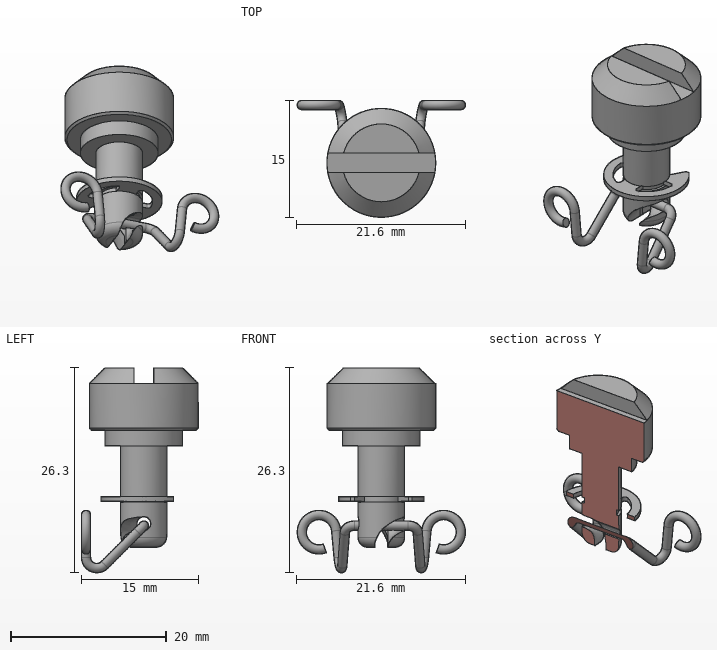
import cadquery as cq
import math


head_radius = 7.0
head_top = 23.03
head_bevel = 2.0
head_bottom = 15.0
head_edge_chamfer = 0.3
driver_slot_width = 2.5
collar_radius = 5.0
collar_bottom = 13.01
shank_radius = 3.0
tip_fillet = 1.25
groove_radius = 2.63
groove_clearance = 0.08

cam_half_width = 0.87
cam_height = 3.05
cam_samples = 8
cam_overcut = 1.31

clip_bottom = 5.9
clip_thickness = 0.63
clip_radius = 5.5
clip_front = 3.8
clip_window_radius = 4.29
clip_window_fillet = 0.4
clip_back_prong_half_width = 1.31
clip_window_front = 0.25
mouth_inner_half_width = 2.15
mouth_outer_half_width = 3.47

wire_radius = 0.6
wire_height = 2.79
wire_bend_radius = 1.2
arm_bend_radius = 1.42
arm_top_x = 4.6
arm_bottom_x = 5.18
loop_y = 7.41
arm_drop = 7.41
loop_radius = 2.2
loop_x = 8.0
loop_z = 1.95
loop_end_angle = math.radians(290)


def disc(radius, bottom, top):
    return cq.Workplane("XY").workplane(offset=bottom).circle(radius).extrude(top - bottom)


def cam_rail(side, radius):
    """One edge of a cam slot at a given distance from the stud axis.

    The slot centreline rises from the tip along a quarter circle, then runs level to the cross bore.
    side is +1 for the upper edge and -1 for the lower edge.
    """
    level_end = shank_radius * math.pi / 2
    stations = []
    for i in range(cam_samples + 1):
        angle = math.pi / 2 * i / cam_samples
        stations.append((cam_height * (1 - math.cos(angle)), cam_height * math.sin(angle), angle))
    level_length = level_end - cam_height
    for fraction in (1 / 3, 2 / 3, 1):
        stations.append((cam_height + level_length * fraction, cam_height, math.pi / 2))

    points = []
    for distance, height, angle in stations:
        turn = distance / shank_radius
        sideways = -side * cam_half_width * math.cos(angle)
        z = height + side * cam_half_width * math.sin(angle)
        x = radius * math.sin(turn) + sideways * math.cos(turn)
        y = -radius * math.cos(turn) + sideways * math.sin(turn)
        points.append(cq.Vector(x, y, z))
    return cq.Edge.makeSpline(points)


def make_cam_cutter():
    """Solid with straight radial walls that cuts one cam slot."""
    inner = 0.25
    outer = shank_radius + cam_overcut
    upper_in, upper_out = cam_rail(1, inner), cam_rail(1, outer)
    lower_in, lower_out = cam_rail(-1, inner), cam_rail(-1, outer)
    faces = [
        cq.Face.makeRuledSurface(upper_in, upper_out),
        cq.Face.makeRuledSurface(lower_in, lower_out),
        cq.Face.makeRuledSurface(upper_in, lower_in),
        cq.Face.makeRuledSurface(upper_out, lower_out),
    ]
    for end in (0, 1):
        corners = [rail.positionAt(end) for rail in (upper_in, upper_out, lower_out, lower_in)]
        faces.append(cq.Face.makeFromWires(cq.Wire.makePolygon(corners, close=True)))
    cutter = cq.Solid.makeSolid(cq.Shell.makeShell(faces))
    return cq.Workplane(cutter.fix())


def make_stud():
    head = disc(head_radius, head_bottom, head_top)
    head = head.faces(">Z").chamfer(head_bevel).faces("<Z").chamfer(head_edge_chamfer)
    driver_slot = cq.Workplane("XY").workplane(offset=head_top - head_bevel)
    driver_slot = driver_slot.rect(2 * head_radius, driver_slot_width).extrude(head_bevel)
    shank = disc(shank_radius, 0, collar_bottom).faces("<Z").edges().fillet(tip_fillet)
    groove_bottom = clip_bottom - groove_clearance
    groove_top = clip_bottom + clip_thickness
    groove = disc(shank_radius, groove_bottom, groove_top).cut(disc(groove_radius, groove_bottom, groove_top))
    collar = disc(collar_radius, collar_bottom, head_bottom)
    stud = head.cut(driver_slot).union(collar).union(shank).cut(groove)

    cross_bore = cq.Workplane("YZ").center(0, cam_height).circle(cam_half_width)
    stud = stud.cut(cross_bore.extrude(shank_radius, both=True))
    stud = stud.cut(disc(cam_half_width, 0, cam_height))
    cam_cutter = make_cam_cutter()
    for angle in (0, 180):
        stud = stud.cut(cam_cutter.rotate((0, 0, 0), (0, 0, 1), angle))
    return stud


def make_clip():
    top = clip_bottom + clip_thickness
    clip = disc(clip_radius, clip_bottom, top).cut(disc(groove_radius, clip_bottom, top))

    mouth_inner_y = -math.sqrt(groove_radius**2 - mouth_inner_half_width**2)
    mouth = cq.Workplane("XY").workplane(offset=clip_bottom).polyline([
        (-mouth_inner_half_width, mouth_inner_y),
        (-mouth_outer_half_width, -clip_front),
        (-clip_radius, -clip_front),
        (-clip_radius, -clip_radius),
        (clip_radius, -clip_radius),
        (clip_radius, -clip_front),
        (mouth_outer_half_width, -clip_front),
        (mouth_inner_half_width, mouth_inner_y),
    ]).close().extrude(clip_thickness)
    clip = clip.cut(mouth)

    window_width = clip_window_radius - clip_back_prong_half_width
    window_length = clip_window_radius + clip_window_front
    for side in (-1, 1):
        window = cq.Workplane("XY").workplane(offset=clip_bottom).center(
            side * (clip_back_prong_half_width + window_width / 2),
            window_length / 2 - clip_window_front,
        ).rect(window_width, window_length).extrude(clip_thickness)
        window = window.intersect(disc(clip_window_radius, clip_bottom, top))
        arc_ends = window.edges("|Z").filter(
            lambda edge: math.hypot(edge.Center().x, edge.Center().y) > groove_radius
        )
        clip = clip.cut(arc_ends.fillet(clip_window_fillet))
    return clip


def bend(before, corner, after, radius):
    """Arc of the given radius that rounds the corner of a path."""
    back = (before - corner).normalized()
    ahead = (after - corner).normalized()
    half_angle = back.getAngle(ahead) / 2
    setback = radius / math.tan(half_angle)
    to_middle = radius / math.sin(half_angle) - radius
    middle = corner + (back + ahead).normalized() * to_middle
    return cq.Edge.makeThreePointArc(corner + back * setback, middle, corner + ahead * setback)


def make_wire():
    centre = cq.Vector(0, 0, wire_height)
    arm_top = cq.Vector(-arm_top_x, 0, wire_height)
    arm_bottom = cq.Vector(-arm_bottom_x, loop_y, wire_height - arm_drop)

    def loop_point(angle):
        return cq.Vector(
            -loop_x + loop_radius * math.cos(angle), loop_y, loop_z + loop_radius * math.sin(angle)
        )

    offset_x = arm_bottom.x + loop_x
    offset_z = arm_bottom.z - loop_z
    distance = math.hypot(offset_x, offset_z)
    loop_start_angle = math.atan2(offset_z, offset_x) + math.acos(loop_radius / distance)
    loop_start = loop_point(loop_start_angle)
    loop_middle = loop_point((loop_start_angle + loop_end_angle) / 2)

    upper_bend = bend(centre, arm_top, arm_bottom, wire_bend_radius)
    lower_bend = bend(arm_top, arm_bottom, loop_start, arm_bend_radius)
    path = cq.Wire.assembleEdges([
        cq.Edge.makeLine(centre, upper_bend.startPoint()),
        upper_bend,
        cq.Edge.makeLine(upper_bend.endPoint(), lower_bend.startPoint()),
        lower_bend,
        cq.Edge.makeLine(lower_bend.endPoint(), loop_start),
        cq.Edge.makeThreePointArc(loop_start, loop_middle, loop_point(loop_end_angle)),
    ])
    half = cq.Workplane("YZ").center(0, wire_height).circle(wire_radius).sweep(cq.Workplane(path))
    return half.union(half.mirror("YZ"))


stud = make_stud()
clip = make_clip()
wire = make_wire()

result = cq.Compound.makeCompound([stud.solids().val(), clip.solids().val(), wire.solids().val()])